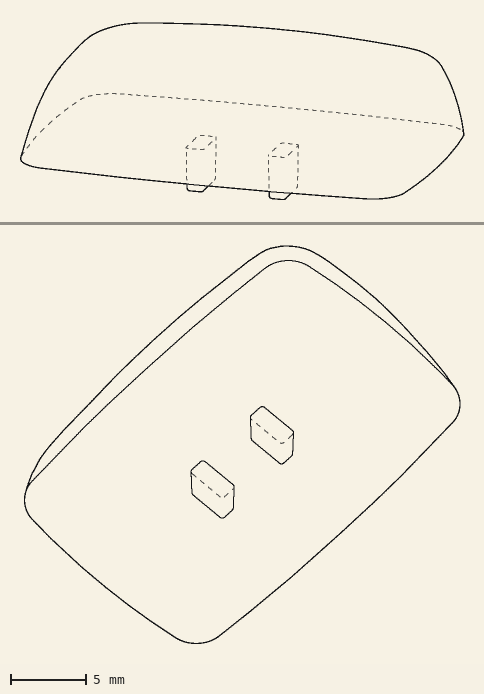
import cadquery as cq
import math

base_length = 27.5
base_width = 18.0
base_corner = 2.35

ridge_height = 4.62
crown_tilt = 9.6
crown_radius = 156.75
crown_edge_fillet = 0.5

middle_height = 2.35
middle_length = 26.68
middle_front = -8.83
middle_back = 8.72
middle_front_corner = 2.75
middle_back_corner = 2.9

upper_height = 4.95
upper_length = 25.63
upper_front = -8.3
upper_back = 7.7
upper_front_corner = 3.58
upper_back_corner = 4.4

end_bow = 0.38
long_side_bow = 0.4

end_lean = 7.0
long_side_lean = 4.0

leg_spacing = 5.72
leg_thickness = 1.26
leg_width = 3.0
leg_length = 3.02
leg_draft = 0.8
leg_fillet = 0.22


def bowed_outline(length, front, back, front_corner, back_corner):
    """Smooth closed outline: four bowed sides blending into rounded corners.

    Every point comes with the direction its outward normal makes with +X.
    """
    half = length / 2
    front_center_y = front + long_side_bow + front_corner
    back_center_y = back - long_side_bow - back_corner
    front_angles = (long_side_lean - 90, -45, -end_lean)
    back_angles = (end_lean, 45, 90 - long_side_lean)

    def corner_points(corner, center_y, angles):
        center_x = half - end_bow - corner
        return [
            (
                center_x + corner * math.cos(math.radians(angle)),
                center_y + corner * math.sin(math.radians(angle)),
            )
            for angle in angles
        ]

    right_points = [
        (0, front),
        *corner_points(front_corner, front_center_y, front_angles),
        (half, (front + back) / 2),
        *corner_points(back_corner, back_center_y, back_angles),
        (0, back),
    ]
    normals = [-90, *front_angles, 0, *back_angles, 90]
    right_tangents = [
        (-math.sin(math.radians(angle)), math.cos(math.radians(angle))) for angle in normals
    ]
    left_points = [(-x, y) for x, y in reversed(right_points)]
    left_tangents = [(x, -y) for x, y in reversed(right_tangents)]
    right_half = cq.Workplane().spline(right_points, tangents=right_tangents)
    left_half = cq.Workplane().spline(left_points, tangents=left_tangents)
    return cq.Wire.assembleEdges([right_half.val(), left_half.val()])


def tilted_section(height, tilt, length, front, back, front_corner, back_corner):
    """Bowed outline on a plane through (0, 0, height) that rises toward +Y.

    The front and back reach is measured level, so it is stretched along the slope.
    """
    stretch = 1 / math.cos(math.radians(tilt))
    outline = bowed_outline(length, front * stretch, back * stretch, front_corner, back_corner)
    place = cq.Location(cq.Vector(0, 0, height), cq.Vector(1, 0, 0), tilt)
    return outline.moved(place)


def make_walls():
    """Side walls lofted from the flat base to the tilted upper outline."""
    base = tilted_section(
        0, 0, base_length, -base_width / 2, base_width / 2, base_corner, base_corner
    )
    middle = tilted_section(
        middle_height,
        crown_tilt / 2,
        middle_length,
        middle_front,
        middle_back,
        middle_front_corner,
        middle_back_corner,
    )
    upper = tilted_section(
        upper_height,
        crown_tilt,
        upper_length,
        upper_front,
        upper_back,
        upper_front_corner,
        upper_back_corner,
    )
    return cq.Workplane(cq.Solid.makeLoft([base, middle, upper]))


def make_crown_cylinder():
    """Cylinder whose top is the crown, its axis along the sloping ridge."""
    half_length = base_width
    return (
        cq.Workplane("XZ")
        .circle(crown_radius)
        .extrude(half_length, both=True)
        .translate((0, 0, -crown_radius))
        .rotate((0, 0, 0), (1, 0, 0), crown_tilt)
        .translate((0, 0, ridge_height))
    )


def make_leg(x):
    """Slightly tapered, rounded leg hanging from the base."""
    return (
        cq.Workplane()
        .center(x, 0)
        .rect(leg_thickness, leg_width)
        .extrude(-leg_length, taper=leg_draft)
        .edges("not >Z")
        .fillet(leg_fillet)
    )


body = make_walls().intersect(make_crown_cylinder())
body = body.faces(">Z").edges().fillet(crown_edge_fillet)

result = body
for side in (-1, 1):
    result = result.union(make_leg(side * leg_spacing / 2))